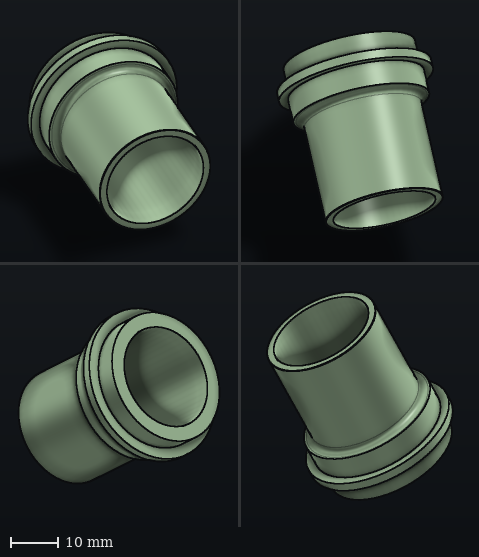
import cadquery as cq

length = 34.92
spigot_length = 4.75
flange_thickness = 2.0
flange_end = spigot_length + flange_thickness
collar_end = 11.95

bore_diameter = 22.1
tube_diameter = 25.4
spigot_diameter = 28.55
collar_diameter = 29.47
flange_diameter = 33.42

neck_fillet_radius = 1.5
tube_end_chamfer = 0.1


def cylinder(diameter, start, end):
    """Solid cylinder about the X axis between two axial positions."""
    return cq.Workplane("YZ", origin=(start, 0, 0)).circle(diameter / 2).extrude(end - start)


tube = cylinder(tube_diameter, 0, length).faces(">X").edges().chamfer(tube_end_chamfer)

body = (
    tube
    .union(cylinder(spigot_diameter, 0, spigot_length))
    .union(cylinder(flange_diameter, spigot_length, flange_end))
    .union(cylinder(collar_diameter, flange_end, collar_end))
)

neck_selector = cq.selectors.RadiusNthSelector(0)
neck_edge = body.faces(cq.selectors.NearestToPointSelector((collar_end, 0, 0))).edges(neck_selector)
body = neck_edge.fillet(neck_fillet_radius)

result = body.cut(cylinder(bore_diameter, 0, length))